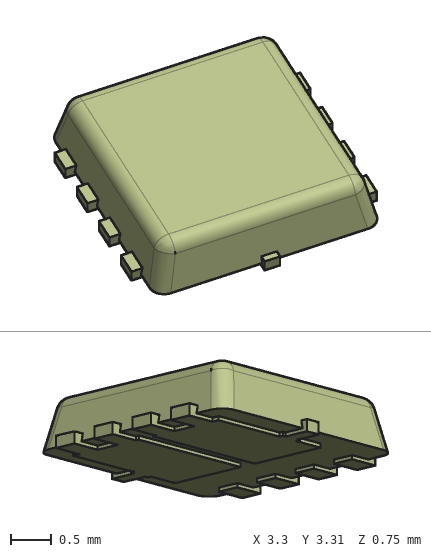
import cadquery as cq
import math

overall_x = 3.3
overall_y = 3.31
overall_z = 0.75

body_x = 3.15
body_y = 3.055
body_base = 0.053
draft_angle = 12.0
edge_radius = 0.202

leads_per_side = 4
lead_width = 0.31
lead_pitch = 0.65
lead_length = 0.415
lead_height = 0.155

pad_gap = 0.238
pad_outer_x = 1.23
pad_min_y = -0.57
pad_max_y = overall_y / 2 - lead_length

tab_center_y = 0.005
tab_width = 0.21
neck_width = 0.305
neck_length = 0.055


def block(x_min, x_max, y_min, y_max, height):
    """Box standing on z = 0 between the given limits."""
    size_x = x_max - x_min
    size_y = y_max - y_min
    return cq.Workplane("XY").box(size_x, size_y, height, centered=False).translate((x_min, y_min, 0))


def make_body():
    """Drafted block with rounded corners and a rounded top rim."""
    height = overall_z - body_base
    inset = height * math.tan(math.radians(draft_angle))
    drafted_block = (
        cq.Workplane("XY")
        .workplane(offset=body_base)
        .rect(body_x, body_y)
        .workplane(offset=height)
        .rect(body_x - 2 * inset, body_y - 2 * inset)
        .loft(ruled=True)
    )
    return drafted_block.edges("not <Z").fillet(edge_radius)


def make_lead(center_x, side):
    """One lead on the +Y (side = 1) or -Y (side = -1) edge."""
    center_y = side * (overall_y - lead_length) / 2
    return block(
        center_x - lead_width / 2,
        center_x + lead_width / 2,
        center_y - lead_length / 2,
        center_y + lead_length / 2,
        lead_height,
    )


def make_right_pad():
    """Exposed pad on the +X half with its neck and outward tab."""
    neck_outer_x = pad_outer_x + neck_length
    pad = block(pad_gap / 2, pad_outer_x, pad_min_y, pad_max_y, body_base)
    neck = block(
        pad_outer_x,
        neck_outer_x,
        tab_center_y - neck_width / 2,
        tab_center_y + neck_width / 2,
        body_base,
    )
    tab = block(
        neck_outer_x,
        overall_x / 2,
        tab_center_y - tab_width / 2,
        tab_center_y + tab_width / 2,
        lead_height,
    )
    return pad.union(neck).union(tab)


result = make_body()

for side in (-1, 1):
    for index in range(leads_per_side):
        lead_x = (index - (leads_per_side - 1) / 2) * lead_pitch
        result = result.union(make_lead(lead_x, side))

right_pad = make_right_pad()
result = result.union(right_pad).union(right_pad.mirror("YZ"))